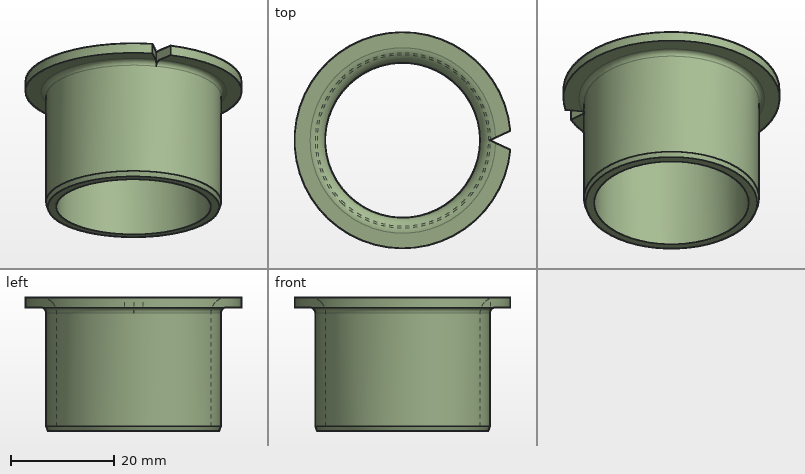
import math

import cadquery as cq

bore_diameter = 30.0
wall = 2.0
flange_diameter = 42.0
total_height = 26.0
outer_fillet = 1.0
chamfer_height = 1.0
chamfer_angle = 20.0
notch_half_angle = 25.0
notch_overshoot = 2.0

bore_radius = bore_diameter / 2
sleeve_radius = bore_radius + wall
flange_radius = flange_diameter / 2
flange_underside = total_height - wall
inner_round = outer_fillet + wall
chamfer_width = chamfer_height * math.tan(math.radians(chamfer_angle))
notch_tip_radius = sleeve_radius


def make_bushing():
    """Sleeve and flange of one constant wall, revolved about Z."""
    bend_center_radius = sleeve_radius + outer_fillet
    bend_center_height = flange_underside - outer_fillet
    diagonal = math.sqrt(0.5)

    def bend_point(radius):
        """Middle of a quarter bend arc, facing the bore and the flange top."""
        return (
            bend_center_radius - radius * diagonal,
            bend_center_height + radius * diagonal,
        )

    profile = (
        cq.Workplane("XZ")
        .moveTo(bore_radius, 0)
        .lineTo(sleeve_radius - chamfer_width, 0)
        .lineTo(sleeve_radius, chamfer_height)
        .lineTo(sleeve_radius, bend_center_height)
        .threePointArc(bend_point(outer_fillet), (bend_center_radius, flange_underside))
        .lineTo(flange_radius, flange_underside)
        .lineTo(flange_radius, total_height)
        .lineTo(bend_center_radius, total_height)
        .threePointArc(bend_point(inner_round), (bore_radius, bend_center_height))
        .close()
    )
    return profile.revolve(360, (0, 0, 0), (0, 1, 0))


def make_notch_cutter():
    """V-shaped wedge on the +X side, opening outward through the flange."""
    length = flange_radius - notch_tip_radius + notch_overshoot
    half_width = length * math.tan(math.radians(notch_half_angle))
    outer_x = notch_tip_radius + length
    return (
        cq.Workplane("XY")
        .polyline([(notch_tip_radius, 0), (outer_x, -half_width), (outer_x, half_width)])
        .close()
        .extrude(total_height)
    )


result = make_bushing().cut(make_notch_cutter()).solids()